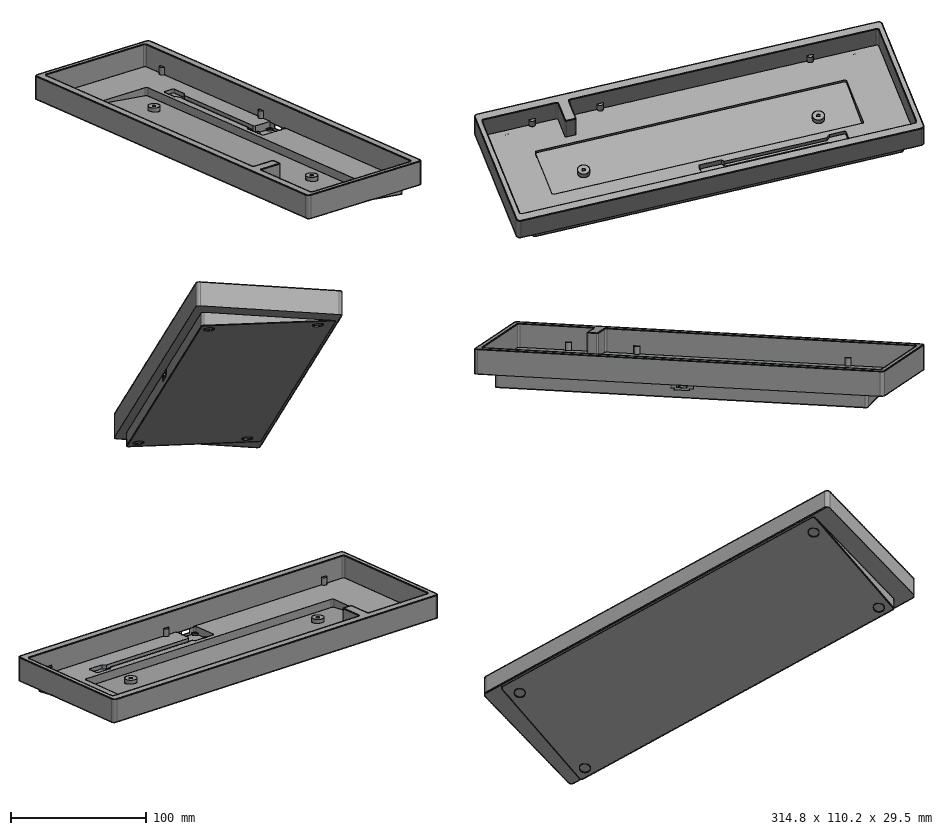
import cadquery as cq
import math

length = 314.8
width = 110.2
height = 29.5
tray_height = 19.0
corner_radius = 2.8
edge_chamfer = 0.47
front_chamfer = 0.5
cavity_length = 306.0
cavity_width = 96.3
cavity_corner_radius = 1.5
floor_thickness = 1.0

block_x = 90.3
block_width = 8.5
block_reach = 19.2
block_outer_radius = 1.0
block_root_radius = 1.3
selection_margin = 0.3

wedge_length = 286.5
wedge_back = 48.5
wedge_front = -width / 2 + 2.0
wedge_drop = height - tray_height
wedge_corner_radius = 2.0
wedge_slope = wedge_drop / (wedge_back - wedge_front)
wedge_angle = math.atan(wedge_slope)

pad_diameter = 8.2
pad_depth = 1.0
pad_x = 134.0
pad_y = 41.0

pocket_length = 240.5
pocket_width = 44.5
pocket_corner_radius = 1.5
pocket_front_depth = 2.0

boss_diameter = 9.0
boss_hole_diameter = 2.5
boss_x = 90.5
boss_y = 4.5
boss_height = 3.5

rib_diameter = 4.7
rib_height = 6.0
back_rib_x = (-133.0, -19.5, 133.5)
front_rib_x = (-100.5, 61.7, 114.3)

channel_y = 30.5
channel_width = 4.7
channel_depth = 3.0
connector_left = -105.0
connector_right = -92.5
connector_width = 9.5
connector_flare = 2.5
connector_radius = 1.3

nest_x = -0.3
nest_width = 18.0
nest_front = 26.0
nest_back = cavity_width / 2
nest_depth = 4.7
nest_corner_radius = 1.3
mouth_flare = 1.3
well_front = 31.2
well_depth = 6.0
well_chamfer = 3.5
post_diameter = 5.0
post_hole_diameter = 1.6
post_spread_x = 15.7
post_rows_y = (34.0, 46.5)
port_width = 8.0
port_height = 3.0

floor_z = wedge_drop + floor_thickness
channel_front = channel_y - channel_width / 2
channel_back = channel_y + channel_width / 2


def cylinder(x, y, diameter, z_min, z_max):
    return cq.Workplane("XY", origin=(x, y, z_min)).circle(diameter / 2).extrude(z_max - z_min)


def box(x_min, x_max, y_min, y_max, z_min, z_max):
    size = (x_max - x_min, y_max - y_min, z_max - z_min)
    return cq.Workplane("XY", origin=(x_min, y_min, z_min)).box(*size, centered=False)


def floor_cut(outline, depth):
    """Prism with the given X-Y outline, reaching from the tray floor down by depth."""
    return cq.Workplane("XY", origin=(0, 0, floor_z)).polyline(outline).close().extrude(-depth)


def side_prism(outline, prism_length):
    """Extrude a Y-Z outline along X, centred on X = 0."""
    return cq.Workplane("YZ").polyline(outline).close().extrude(prism_length / 2, both=True)


def block_edges(y):
    """Select the upright edges of the wall block that lie at the given Y."""
    reach = block_width
    low = (block_x - reach, y - selection_margin, wedge_drop)
    high = (block_x + reach, y + selection_margin, height)
    return cq.selectors.BoxSelector(low, high)


def make_cavity():
    cavity = cq.Workplane("XY", origin=(0, 0, floor_z)).rect(cavity_length, cavity_width)
    cavity = cavity.extrude(height - floor_z).edges("|Z").fillet(cavity_corner_radius)
    wall = -cavity_width / 2
    tip = wall + block_reach
    block = box(block_x - block_width / 2, block_x + block_width / 2, wall, tip, floor_z, height)
    cavity = cavity.cut(block)
    cavity = cavity.edges("|Z").edges(block_edges(wall)).fillet(block_root_radius)
    return cavity.edges("|Z").edges(block_edges(tip)).fillet(block_outer_radius)


def make_tray():
    tray = cq.Workplane("XY", origin=(0, 0, wedge_drop)).rect(length, width).extrude(tray_height)
    tray = tray.edges("<Y and <Z").chamfer(front_chamfer).edges("|Z").fillet(corner_radius)
    return tray.cut(make_cavity()).faces(">Z").chamfer(edge_chamfer)


def make_wedge():
    sharp_back_z = -edge_chamfer * math.sin(wedge_angle)
    outline = [
        (wedge_front, floor_z),
        (wedge_back, floor_z),
        (wedge_back, sharp_back_z),
        (wedge_front, wedge_drop),
    ]
    wedge = side_prism(outline, wedge_length).edges("|Z").fillet(wedge_corner_radius)
    toward_slope = cq.selectors.DirectionMinMaxSelector(cq.Vector(0, wedge_slope, 1), False)
    return wedge.faces(toward_slope).chamfer(edge_chamfer)


def make_pads():
    pads = cq.Workplane("XY")
    for x in (-pad_x, pad_x):
        for y in (-pad_y, pad_y):
            surface_z = (wedge_back - y) * wedge_slope
            plane = cq.Plane(
                origin=(x, y, surface_z), xDir=(1, 0, 0), normal=(0, math.sin(wedge_angle), math.cos(wedge_angle))
            )
            disc = cq.Workplane(plane).circle(pad_diameter / 2)
            pads = pads.union(disc.extrude(pad_depth, both=True))
    return pads


def pocket_bottom_z(y):
    return floor_z - pocket_front_depth - (y + pocket_width / 2) * wedge_slope


def make_pocket():
    front = -pocket_width / 2
    back = pocket_width / 2
    outline = [(front, floor_z), (back, floor_z), (back, pocket_bottom_z(back)), (front, pocket_bottom_z(front))]
    return side_prism(outline, pocket_length).edges("|Z").fillet(pocket_corner_radius)


def add_bosses(body):
    bottom = pocket_bottom_z(boss_y)
    top = bottom + boss_height
    root = pocket_bottom_z(boss_y + boss_diameter / 2)
    for x in (-boss_x, boss_x):
        body = body.union(cylinder(x, boss_y, boss_diameter, root, top))
        body = body.cut(cylinder(x, boss_y, boss_hole_diameter, bottom, top))
    return body


def add_ribs(body):
    wall = cavity_width / 2
    for rib_x, y in ((back_rib_x, wall), (front_rib_x, -wall)):
        for x in rib_x:
            body = body.union(cylinder(x, y, rib_diameter, floor_z, floor_z + rib_height))
    return body


def make_channel():
    flare_end = connector_right + connector_flare
    channel_end = nest_x - nest_width / 2
    connector_front = channel_y - connector_width / 2
    connector_back = channel_y + connector_width / 2
    outline = [
        (channel_end, channel_back),
        (flare_end, channel_back),
        (connector_right, connector_back),
        (connector_left, connector_back),
        (connector_left, connector_front),
        (connector_right, connector_front),
        (flare_end, channel_front),
        (channel_end, channel_front),
    ]
    return floor_cut(outline, channel_depth).edges("|Z and <X").fillet(connector_radius)


def make_nest():
    left = nest_x - nest_width / 2
    right = nest_x + nest_width / 2
    outline = [
        (left, nest_back),
        (left, channel_back + mouth_flare),
        (left - mouth_flare, channel_back),
        (left - mouth_flare, channel_front),
        (left, nest_front),
        (right, nest_front),
        (right, nest_back),
    ]
    nest = floor_cut(outline, nest_depth).edges("|Z and >X").fillet(nest_corner_radius)
    well_outline = [
        (left, nest_back),
        (left, well_front + well_chamfer),
        (left + well_chamfer, well_front),
        (right - well_chamfer, well_front),
        (right, well_front + well_chamfer),
        (right, nest_back),
    ]
    well = floor_cut(well_outline, well_depth).edges("|Z and >Y").fillet(nest_corner_radius)

    well_z = floor_z - well_depth
    nest_z = floor_z - nest_depth
    for x in (nest_x - post_spread_x / 2, nest_x + post_spread_x / 2):
        for y in post_rows_y:
            well = well.cut(cylinder(x, y, post_diameter, well_z, nest_z))
            well = well.union(cylinder(x, y, post_hole_diameter, well_z, nest_z))
    return nest.union(well)


def make_port():
    half_width = port_width / 2
    return box(
        nest_x - half_width, nest_x + half_width, nest_back, wedge_back,
        wedge_drop - port_height, wedge_drop,
    )


result = make_tray().union(make_wedge())
result = result.cut(make_pads()).cut(make_pocket())
result = add_ribs(add_bosses(result))
result = result.cut(make_channel()).cut(make_nest()).cut(make_port())